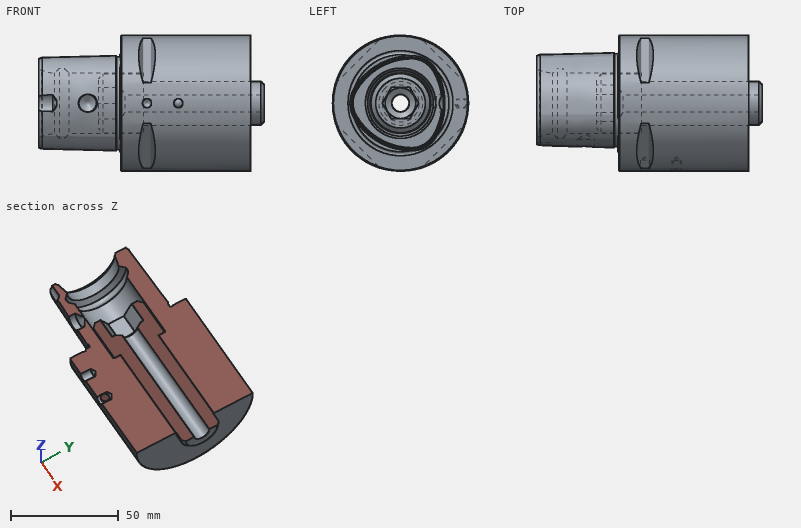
import cadquery as cq
import math


BODY_DIAMETER = 63.0
BODY_LENGTH = 60.1
FLANGE_CHAMFER = 0.4

SHANK_LENGTH = 38.0
LOBE_OFFSET = 10.5
TAPER_BIG_RADIUS = 22.0
TAPER_RATE = 1 / 40
TIP_CHAMFER_LENGTH = 1.6
TIP_CHAMFER_DEPTH = 0.6
NECK_LENGTH = 2.3
NECK_STEP = 0.4
ROOT_DEPTH = 0.6

RING_RADIUS = 22.5
RING_HEIGHT = 0.5
RELIEF_RADIUS = 24.3
RELIEF_DEPTH = 0.3

MOUTH_RADIUS = 16.3
MOUTH_CHAMFER_RADIUS = 15.3
MOUTH_CHAMFER_DEPTH = 1.1
BORE_RADIUS = 14.0
LEAD_IN_DEPTH = 6.5
LAND_LENGTH = 0.7
CLAMP_GROOVE_RADIUS = 16.3
CLAMP_GROOVE_END = 10.9
CLAMP_GROOVE_FILLET = 2.1
SEAT_X = 10.5

NOTCH_RADIUS = 5.2
NOTCH_FLOOR_Y = -18.0
NOTCH_LENGTH = 6.5
NOTCH_POINT_ANGLE = 90
SHANK_HOLE_RADIUS = 4.1
SHANK_HOLE_X = -15.4
SHANK_HOLE_FLOOR_Y = -16.6
SHANK_HOLE_RIM_RADIUS = 4.4
DRILL_POINT_ANGLE = 118

GROOVE_X = 12.1
GROOVE_COUNT = 4
GROOVE_FLOOR_DISTANCE = 27.9
GROOVE_FLOOR_WIDTH = 3.6
GROOVE_ANGLE = 60
GROOVE_FLOOR_FILLET = 0.4

SMALL_HOLE_RADIUS = 2.1
SMALL_HOLE_FLOOR_Y = -26.1
MARKER_HOLE_X = GROOVE_X
BALL_HOLE_X = 26.6
BALL_TOP_RECESS = 1.0

SCREW_HEAD_RADIUS = 13.7
SCREW_HEAD_LENGTH = 20.9
SCREW_HEAD_CHAMFER = 2.2
SCREW_SHANK_RADIUS = 10.1
SCREW_OVERHANG = 6.4
SCREW_TIP_CHAMFER = 1.6
SOCKET_WIDTH = 14.6
SOCKET_DEPTH = 10.5
SOCKET_CONE_RADIUS = 7.1
COOLANT_RADIUS = 4.0

BODY_RADIUS = BODY_DIAMETER / 2
TIP_X = -SHANK_LENGTH


def revolve_about_x(profile):
    """Revolve an outline drawn in X (axial) and Y (radial) about the X axis."""
    return profile.close().revolve(360, (0, 0, 0), (1, 0, 0))


def polygon_wire(x, mean_radius):
    """Constant-width three-lobed outline in the plane at x, with one lobe toward +Y."""
    corner_radius = mean_radius - LOBE_OFFSET * math.sqrt(3) / 2
    flank_radius = 2 * mean_radius - corner_radius

    def point(lobe_angle, radius, direction):
        lobe, turn = math.radians(lobe_angle), math.radians(direction)
        return (
            LOBE_OFFSET * math.cos(lobe) + radius * math.cos(turn),
            LOBE_OFFSET * math.sin(lobe) + radius * math.sin(turn),
        )

    outline = cq.Workplane("YZ", origin=(x, 0, 0)).moveTo(*point(0, corner_radius, -30))
    for lobe in (0, 120, 240):
        outline = outline.threePointArc(
            point(lobe, corner_radius, lobe), point(lobe, corner_radius, lobe + 30)
        )
        outline = outline.threePointArc(
            point(lobe + 240, flank_radius, lobe + 60), point(lobe + 240, flank_radius, lobe + 90)
        )
    return outline.close().val()


def make_shank():
    chamfer_x = TIP_X + TIP_CHAMFER_LENGTH
    neck_x = NECK_STEP - NECK_LENGTH
    small_radius = TAPER_BIG_RADIUS - TAPER_RATE * (-NECK_LENGTH - chamfer_x)
    neck_radius = TAPER_BIG_RADIUS - NECK_STEP
    sections = [
        (TIP_X, small_radius - TIP_CHAMFER_DEPTH),
        (chamfer_x, small_radius),
        (-NECK_LENGTH, TAPER_BIG_RADIUS),
        (neck_x, neck_radius),
        (ROOT_DEPTH, neck_radius),
    ]
    wires = [polygon_wire(x, radius) for x, radius in sections]
    return cq.Workplane(cq.Solid.makeLoft(wires, True))


def make_flanged_body():
    groove_middle = (RING_RADIUS + RELIEF_RADIUS) / 2
    return revolve_about_x(
        cq.Workplane("XY")
        .moveTo(-RING_HEIGHT, 0)
        .lineTo(-RING_HEIGHT, RING_RADIUS)
        .threePointArc((RELIEF_DEPTH, groove_middle), (0, RELIEF_RADIUS))
        .lineTo(0, BODY_RADIUS - FLANGE_CHAMFER)
        .lineTo(FLANGE_CHAMFER, BODY_RADIUS)
        .lineTo(BODY_LENGTH, BODY_RADIUS)
        .lineTo(BODY_LENGTH, 0)
    )


def make_bore():
    land_end = TIP_X + LEAD_IN_DEPTH + LAND_LENGTH
    groove_end = TIP_X + CLAMP_GROOVE_END
    rise = CLAMP_GROOVE_RADIUS - BORE_RADIUS

    def fillet_point(angle):
        turn = math.radians(angle)
        return (
            groove_end + CLAMP_GROOVE_FILLET * math.sin(turn),
            CLAMP_GROOVE_RADIUS - CLAMP_GROOVE_FILLET * (1 - math.cos(turn)),
        )

    cone_x, cone_radius = fillet_point(45)
    return revolve_about_x(
        cq.Workplane("XY")
        .moveTo(TIP_X, 0)
        .lineTo(TIP_X, MOUTH_RADIUS)
        .lineTo(TIP_X + MOUTH_CHAMFER_DEPTH, MOUTH_CHAMFER_RADIUS)
        .lineTo(TIP_X + LEAD_IN_DEPTH, BORE_RADIUS)
        .lineTo(land_end, BORE_RADIUS)
        .lineTo(land_end + rise, CLAMP_GROOVE_RADIUS)
        .lineTo(groove_end, CLAMP_GROOVE_RADIUS)
        .threePointArc(fillet_point(22.5), (cone_x, cone_radius))
        .lineTo(cone_x + cone_radius - BORE_RADIUS, BORE_RADIUS)
        .lineTo(SEAT_X, BORE_RADIUS)
        .lineTo(SEAT_X, SCREW_SHANK_RADIUS)
        .lineTo(BODY_LENGTH, SCREW_SHANK_RADIUS)
        .lineTo(BODY_LENGTH, 0)
    )


def drill(start, direction, radius, depth, point_angle=DRILL_POINT_ANGLE):
    """Cylinder from start along direction, ended by a drill point beyond its depth."""
    point_length = radius / math.tan(math.radians(point_angle / 2))
    start, direction = cq.Vector(*start), cq.Vector(*direction)
    shaft = cq.Workplane(cq.Solid.makeCylinder(radius, depth, start, direction))
    tip = cq.Solid.makeCone(radius, 0, point_length, start + direction * depth, direction)
    return shaft.union(cq.Workplane(tip))


def make_drive_notch():
    start = (TIP_X, NOTCH_FLOOR_Y - NOTCH_RADIUS, 0)
    return drill(start, (1, 0, 0), NOTCH_RADIUS, NOTCH_LENGTH, NOTCH_POINT_ANGLE)


def make_side_hole(x, radius, floor_y):
    return drill((x, -BODY_RADIUS, 0), (0, 1, 0), radius, floor_y + BODY_RADIUS)


def make_shank_hole():
    hole = make_side_hole(SHANK_HOLE_X, SHANK_HOLE_RADIUS, SHANK_HOLE_FLOOR_Y)
    crest = TAPER_BIG_RADIUS + TAPER_RATE * (SHANK_HOLE_X + NECK_LENGTH)
    crest -= LOBE_OFFSET * (1 - math.sqrt(3) / 2)
    rim = cq.Solid.makeCone(
        SHANK_HOLE_RIM_RADIUS,
        0,
        SHANK_HOLE_RIM_RADIUS,
        cq.Vector(SHANK_HOLE_X, -crest, 0),
        cq.Vector(0, 1, 0),
    )
    return hole.union(cq.Workplane(rim))


def make_gripper_groove(angle):
    depth = BODY_RADIUS - GROOVE_FLOOR_DISTANCE
    half_floor = GROOVE_FLOOR_WIDTH / 2
    half_top = half_floor + depth * math.tan(math.radians(GROOVE_ANGLE / 2))
    prism = (
        cq.Workplane("XZ")
        .polyline(
            [
                (GROOVE_X - half_floor, GROOVE_FLOOR_DISTANCE),
                (GROOVE_X + half_floor, GROOVE_FLOOR_DISTANCE),
                (GROOVE_X + half_top, BODY_RADIUS),
                (GROOVE_X - half_top, BODY_RADIUS),
            ]
        )
        .close()
        .extrude(BODY_RADIUS / 2, both=True)
        .edges("|Y and <Z")
        .fillet(GROOVE_FLOOR_FILLET)
    )
    return prism.rotate((0, 0, 0), (1, 0, 0), angle)


def make_housing():
    housing = make_flanged_body().union(make_shank()).cut(make_bore())
    housing = housing.cut(make_drive_notch())
    housing = housing.cut(make_shank_hole())
    for x in (MARKER_HOLE_X, BALL_HOLE_X):
        housing = housing.cut(make_side_hole(x, SMALL_HOLE_RADIUS, SMALL_HOLE_FLOOR_Y))
    for index in range(GROOVE_COUNT):
        angle = 360 / GROOVE_COUNT * (index + 0.5)
        housing = housing.cut(make_gripper_groove(angle))
    return housing


def make_screw():
    """Clamping screw with a hexagon socket and a coolant hole right through it."""
    head_x = SEAT_X - SCREW_HEAD_LENGTH
    end_x = BODY_LENGTH + SCREW_OVERHANG
    floor_x = head_x + SOCKET_DEPTH
    cone_slope = math.tan(math.radians(DRILL_POINT_ANGLE / 2))
    cone_end_x = floor_x + (SOCKET_CONE_RADIUS - COOLANT_RADIUS) / cone_slope
    blank = revolve_about_x(
        cq.Workplane("XY")
        .moveTo(head_x, 0)
        .lineTo(head_x, SCREW_HEAD_RADIUS - SCREW_HEAD_CHAMFER)
        .lineTo(head_x + SCREW_HEAD_CHAMFER, SCREW_HEAD_RADIUS)
        .lineTo(SEAT_X, SCREW_HEAD_RADIUS)
        .lineTo(SEAT_X, SCREW_SHANK_RADIUS)
        .lineTo(end_x - SCREW_TIP_CHAMFER, SCREW_SHANK_RADIUS)
        .lineTo(end_x, SCREW_SHANK_RADIUS - SCREW_TIP_CHAMFER)
        .lineTo(end_x, 0)
    )
    socket = (
        cq.Workplane("YZ", origin=(head_x, 0, 0))
        .polygon(6, SOCKET_WIDTH / math.cos(math.radians(30)))
        .extrude(SOCKET_DEPTH)
    )
    coolant_hole = revolve_about_x(
        cq.Workplane("XY")
        .moveTo(floor_x, 0)
        .lineTo(floor_x, SOCKET_CONE_RADIUS)
        .lineTo(cone_end_x, COOLANT_RADIUS)
        .lineTo(end_x, COOLANT_RADIUS)
        .lineTo(end_x, 0)
    )
    return blank.cut(socket).cut(coolant_hole)


def make_sealing_ball():
    centre_y = BALL_TOP_RECESS + SMALL_HOLE_RADIUS - BODY_RADIUS
    return cq.Workplane("XY").sphere(SMALL_HOLE_RADIUS).translate((BALL_HOLE_X, centre_y, 0))


housing = make_housing()
screw = make_screw()
sealing_ball = make_sealing_ball()

result = cq.Compound.makeCompound([housing.val(), screw.val(), sealing_ball.val()])